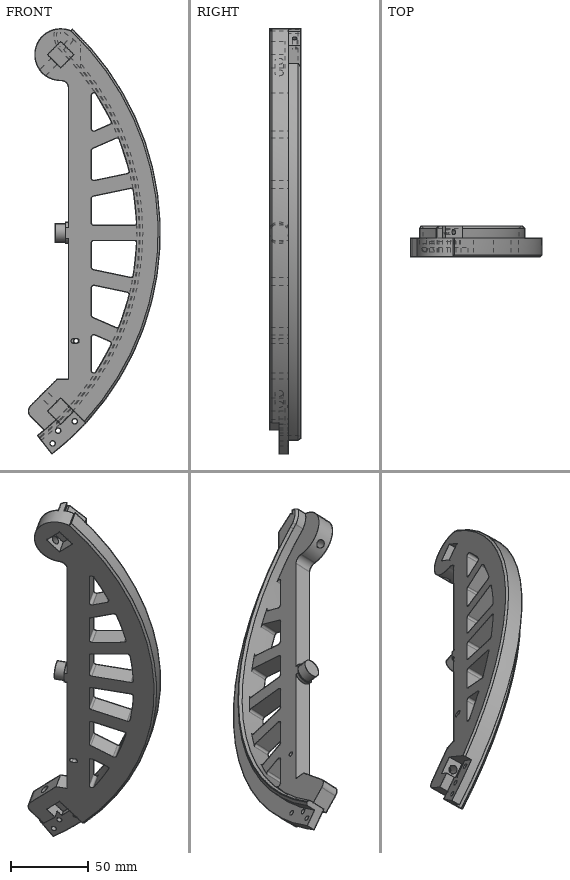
import cadquery as cq
import math

plate_thickness = 12.0
rail_depth = 8.0
back_y = plate_thickness + rail_depth
mid_y = plate_thickness / 2
arc_center_x = -116.8
bow_radius = 181.2
rail_inner_radius = 166.0
rail_width = 3.9
rail_outer_radius = rail_inner_radius + rail_width
bow_chamfer = 1.5
rail_chamfer = 1.7

pivot_z = 115.5
head_radius = 16.8
spine_x = 5.0
head_fillet = 4.7
head_notch_angle = 46.7
foot_half_width = 16.2
foot_top_z = -94.7
foot_fillet = 5.0
socket_side = 12.0
socket_corner = socket_side / math.sqrt(2)
socket_depth = 10.0
set_screw_diameter = 5.5
head_screw_angle = 225
foot_screw_angle = 135

window_x = 19.8
spoke_width = 10.0
spoke_pitch = 11.8
window_fillet = 1.7

pin_diameter = 12.0
pin_end_x = -3.5
collar_diameter = 14.0
collar_x = 3.0

slot_center = (9.5, -70.0)
slot_length = 5.2
slot_width = 3.0
slot_depth = plate_thickness / 2
slot_hole_x = 10.0

end_angle = 52.2
tab_start_angle = 42
tab_front_y = plate_thickness / 2
tab_hole_diameter = 3.3
tab_holes = [(-5.2, -136.3), (-1.7, -128.0), (9.0, -122.0)]

rail_top_angle = 45
cap_end_radius = 14.3
cap_bottom_x = -1.7
cap_tip_angle = 103
boss_start = (1.7, 130.3)
boss_end_x = 13.0
boss_slope = 38
notch_z = 129.2
boss_hole_diameter = 3.0
boss_hole_depth = 8.3
boss_hole_x = 7.2


def plane_at(y):
    """Workplane facing the front; its local axes are X and Z."""
    return cq.Workplane("XZ", origin=(0, y, 0))


def slab(sketch, depth):
    """Extrude a front-facing sketch backwards, towards +Y."""
    return sketch.extrude(-depth)


def arc_point(radius, angle):
    """Point on a bow arc; the angle in degrees is measured up from +X."""
    turn = math.radians(angle)
    return arc_center_x + radius * math.cos(turn), radius * math.sin(turn)


def arc_z(radius, x):
    """Height of a bow arc above the X axis at a given X."""
    return math.sqrt(radius**2 - (x - arc_center_x) ** 2)


def tilted_bore(x, y, z, angle, diameter, length):
    """Cylinder from a point, running in XZ at an angle measured up from +X."""
    turn = math.radians(angle)
    axis = cq.Vector(math.cos(turn), 0, math.sin(turn))
    return cq.Workplane(cq.Solid.makeCylinder(diameter / 2, length, cq.Vector(x, y, z), axis))


def disc(y, depth, radius):
    """Slab of a full circle about the bow centre."""
    return slab(plane_at(y).center(arc_center_x, 0).circle(radius), depth)


def ring(y, depth, outer):
    """Full ring about the bow centre, with the inner radius of the rail."""
    return disc(y, depth, outer).cut(disc(y, depth, rail_inner_radius))


def wedge(y, depth, start, end):
    """Wedge from the bow centre, between two angles, reaching past the bow."""
    reach = 2 * bow_radius
    corners = [arc_point(0, 0), arc_point(reach, start), arc_point(reach, end)]
    return slab(plane_at(y).polyline(corners).close(), depth)


def make_web():
    """Round head and bow-shaped plate, down to the upper side of the tab."""
    head_bottom_z = pivot_z - head_radius
    socket_top_z = socket_corner - pivot_z
    far_x = bow_radius
    outline = [
        (0, pivot_z),
        (0, head_bottom_z),
        (spine_x, head_bottom_z),
        (spine_x, socket_top_z - spine_x),
        (far_x, socket_top_z - far_x),
        arc_point(2 * bow_radius, head_notch_angle),
        arc_point(rail_inner_radius, head_notch_angle),
    ]
    web = slab(plane_at(0).polyline(outline).close(), plate_thickness)
    corner = cq.NearestToPointSelector((spine_x, mid_y, head_bottom_z))
    web = web.edges(corner).fillet(head_fillet)
    head = slab(plane_at(0).center(0, pivot_z).circle(head_radius), plate_thickness)
    bow_blank = disc(0, plate_thickness, bow_radius).faces("<Y").chamfer(bow_chamfer)
    return web.union(head).intersect(bow_blank)


def make_foot():
    """Square block standing on its corner, cut off by the inner arc of the rail."""
    reach = foot_half_width * math.sqrt(2)
    shoulder_x = foot_top_z + pivot_z - reach
    outline = [
        (spine_x, foot_top_z),
        (shoulder_x, foot_top_z),
        (-reach, -pivot_z),
        (0, -pivot_z - reach),
        (spine_x, spine_x - pivot_z - reach),
    ]
    foot = slab(plane_at(0).polyline(outline).close(), plate_thickness)
    foot = foot.edges("<X").fillet(foot_fillet)
    return foot.intersect(disc(0, plate_thickness, rail_inner_radius))


def make_tab():
    """Thin end of the bow that carries the three small holes."""
    depth = plate_thickness - tab_front_y
    band = ring(tab_front_y, depth, bow_radius)
    tab = band.intersect(wedge(tab_front_y, depth, -end_angle, -tab_start_angle))
    return tab.cut(slab(plane_at(0).pushPoints(tab_holes).circle(tab_hole_diameter / 2), back_y))


def make_rail():
    """Narrow curved rail on the back of the plate, chamfered along both back edges."""
    rail = ring(plate_thickness, rail_depth, rail_outer_radius)
    rail = rail.faces(">Y").edges().chamfer(rail_chamfer)
    return rail.intersect(wedge(plate_thickness, rail_depth, -end_angle, rail_top_angle))


def boss_z(x):
    """Height of the sloping top of the boss at a given X."""
    return boss_start[1] - (x - boss_start[0]) * math.tan(math.radians(boss_slope))


def make_cap():
    """Top end of the rail: a rounded end piece and a flat-topped boss."""
    head_turn = math.radians(cap_tip_angle)
    tip = (head_radius * math.cos(head_turn), pivot_z + head_radius * math.sin(head_turn))
    top = (0, pivot_z + head_radius)
    lower_end = (boss_end_x, arc_z(rail_inner_radius, boss_end_x))
    middle_x = (cap_bottom_x + boss_end_x) / 2
    inner_middle = (middle_x, arc_z(rail_inner_radius, middle_x))
    cap_bottom = (cap_bottom_x, arc_z(rail_inner_radius, cap_bottom_x))
    end_middle = ((tip[0] + cap_bottom[0]) / 2, (tip[1] + cap_bottom[1]) / 2)
    sketch = (
        plane_at(plate_thickness)
        .moveTo(*top)
        .lineTo(0, notch_z)
        .lineTo(*boss_start)
        .lineTo(boss_end_x, boss_z(boss_end_x))
        .lineTo(*lower_end)
        .threePointArc(inner_middle, cap_bottom)
        .radiusArc(tip, cap_end_radius)
        .radiusArc(top, head_radius)
        .close()
    )
    cap = slab(sketch, rail_depth)
    end_edge = cq.NearestToPointSelector((end_middle[0], back_y, end_middle[1]))
    inner_edge = cq.NearestToPointSelector((inner_middle[0], back_y, inner_middle[1]))
    cap = cap.edges(end_edge + inner_edge).chamfer(rail_chamfer)
    hole_z = boss_z(boss_hole_x)
    hole_y = plate_thickness + rail_depth / 2
    hole_angle = -90 - boss_slope
    return cap.cut(
        tilted_bore(boss_hole_x, hole_y, hole_z, hole_angle, boss_hole_diameter, boss_hole_depth)
    )


def make_windows():
    """Openings between the spine and the rail, parted by spokes that point at the bow centre."""
    opening = disc(0, back_y, rail_inner_radius)
    beside_spine = cq.Workplane().box(bow_radius, 3 * back_y, 2 * bow_radius)
    opening = opening.intersect(beside_spine.translate((window_x + bow_radius / 2, 0, 0)))
    for number in range(-2, 3):
        spoke = cq.Workplane().box(2 * bow_radius, 3 * back_y, spoke_width)
        spoke = spoke.rotate((0, 0, 0), (0, 1, 0), -number * spoke_pitch)
        opening = opening.cut(spoke.translate((arc_center_x, 0, 0)))
    return opening.edges("|Y").fillet(window_fillet)


def make_pin():
    """Round pin on the spine, with a collar trimmed to the thickness of the plate."""
    axis = cq.Workplane("YZ", origin=(pin_end_x, mid_y, 0))
    pin = axis.circle(pin_diameter / 2).extrude(spine_x - pin_end_x)
    collar = cq.Workplane("YZ", origin=(collar_x, mid_y, 0)).circle(collar_diameter / 2)
    collar = collar.extrude(spine_x - collar_x)
    trim = cq.Workplane().box(4 * spine_x, plate_thickness, 2 * collar_diameter)
    return pin.union(collar.intersect(trim.translate((0, mid_y, 0))))


def make_socket(z, screw_angle):
    """Square socket on its corner, with a set screw hole that reaches it from outside."""
    socket = slab(
        plane_at(0).center(0, z).transformed(rotate=(0, 0, 45)).rect(socket_side, socket_side),
        socket_depth,
    )
    return socket.union(tilted_bore(0, mid_y, z, screw_angle, set_screw_diameter, 2 * head_radius))


def make_slot():
    """Shallow slot in the spine, with a round hole through its floor."""
    slot = slab(plane_at(0).center(*slot_center).slot2D(slot_length, slot_width), slot_depth)
    hole_center = (slot_hole_x, slot_center[1])
    return slot.union(slab(plane_at(0).center(*hole_center).circle(slot_width / 2), plate_thickness))


result = (
    make_web()
    .union(make_foot())
    .union(make_tab())
    .union(make_rail())
    .union(make_cap())
    .union(make_pin())
    .cut(make_windows())
    .cut(make_socket(pivot_z, head_screw_angle))
    .cut(make_socket(-pivot_z, foot_screw_angle))
    .cut(make_slot())
)